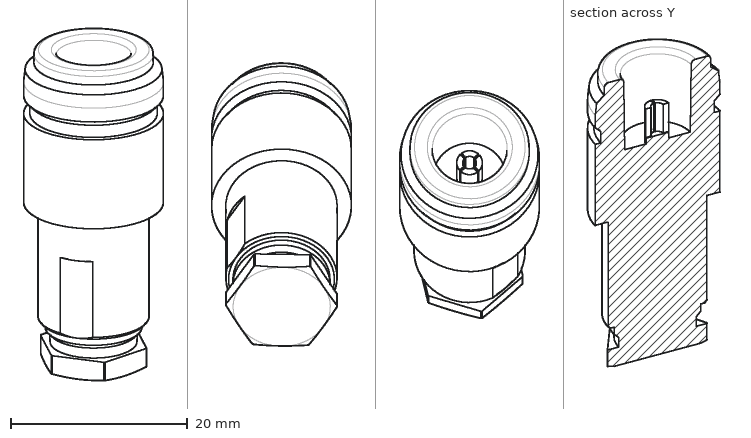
import cadquery as cq
import math

total_height = 38.22
collar_diameter = 15.85
collar_radius = collar_diameter / 2

nut_height = 2.5
gland_neck_top = 3.7
gland_cone_top = 4.28
sleeve_bottom = 5.25
sleeve_chamfer_height = 0.35
collar_bottom = 19.53
collar_top = 30.42
groove_top = 31.9
land_bottom = 32.6
land_top = 34.32
taper_top = 35.85
nose_bottom = 36.65

nut_across_flats = 11.0
nut_sides = 6
nut_turn = 180 / nut_sides
gland_neck_radius = 4.93
gland_radius = nut_across_flats / 2
sleeve_radius = 6.3
groove_radius = 7.22
taper_top_radius = 7.75
nose_radius = 6.75
nose_fillet = 0.5
nut_chamfer_height = 0.23
nut_chamfer_inset = 0.8

flat_offset = 6.0
flat_top = 14.83

mouth_radius = 4.8
bore_radius = 4.25
mouth_fillet = mouth_radius - bore_radius
bore_floor_radius = 4.13
bore_depth = 9.55

contact_radius = 1.45
contact_hole_radius = 0.75
contact_height = 4.6
contact_hole_depth = 3.82
slot_width = 0.2


def make_body():
    """Turned outside of the connector, above the nut."""
    fillet_start = total_height - nose_fillet
    fillet_mid = nose_fillet * (1 - math.sqrt(0.5))
    return (
        cq.Workplane("XZ")
        .moveTo(0, nut_height)
        .lineTo(gland_neck_radius, nut_height)
        .lineTo(gland_neck_radius, gland_neck_top)
        .lineTo(gland_radius, gland_cone_top)
        .lineTo(gland_radius, sleeve_bottom)
        .lineTo(flat_offset, sleeve_bottom)
        .lineTo(sleeve_radius, sleeve_bottom + sleeve_chamfer_height)
        .lineTo(sleeve_radius, collar_bottom)
        .lineTo(collar_radius, collar_bottom)
        .lineTo(collar_radius, collar_top)
        .lineTo(groove_radius, collar_top)
        .lineTo(groove_radius, groove_top)
        .lineTo(collar_radius, land_bottom)
        .lineTo(collar_radius, land_top)
        .lineTo(taper_top_radius, taper_top)
        .lineTo(nose_radius, nose_bottom)
        .lineTo(nose_radius, fillet_start)
        .threePointArc(
            (nose_radius - fillet_mid, total_height - fillet_mid),
            (nose_radius - nose_fillet, total_height),
        )
        .lineTo(0, total_height)
        .close()
        .revolve(360, (0, 0), (0, 1))
    )


def make_nut():
    """Hexagonal nut, flats facing -Y and +Y, with its corners turned down and its lower rim chamfered."""
    hexagon = cq.Workplane("XY").polygon(nut_sides, nut_across_flats, circumscribed=True).extrude(nut_height)
    hexagon = hexagon.rotate((0, 0, 0), (0, 0, 1), nut_turn)
    envelope = (
        cq.Workplane("XZ")
        .lineTo(sleeve_radius - nut_chamfer_inset, 0)
        .lineTo(sleeve_radius, nut_chamfer_height)
        .lineTo(sleeve_radius, nut_height)
        .lineTo(0, nut_height)
        .close()
        .revolve(360, (0, 0), (0, 1))
    )
    return hexagon.intersect(envelope)


def make_flat_cutter(side):
    """Block that trims one wrench flat; side is -1 or 1 along Y."""
    cut_depth = sleeve_radius - flat_offset
    return (
        cq.Workplane("XY", origin=(0, side * (flat_offset + cut_depth / 2), sleeve_bottom))
        .box(2 * sleeve_radius, cut_depth, flat_top - sleeve_bottom, centered=(True, True, False))
    )


def make_socket():
    """Round-mouthed bore that narrows slightly toward its floor."""
    fillet_mid = mouth_fillet * (1 - math.sqrt(0.5))
    return (
        cq.Workplane("XZ")
        .moveTo(0, total_height)
        .lineTo(mouth_radius, total_height)
        .threePointArc(
            (bore_radius + fillet_mid, total_height - fillet_mid),
            (bore_radius, total_height - mouth_fillet),
        )
        .lineTo(bore_floor_radius, total_height - bore_depth)
        .lineTo(0, total_height - bore_depth)
        .close()
        .revolve(360, (0, 0), (0, 1))
    )


def make_contact():
    """Tubular contact standing on the bore floor, split by two crossed slots."""
    floor = total_height - bore_depth
    contact = cq.Workplane("XY", origin=(0, 0, floor)).circle(contact_radius).extrude(contact_height)
    contact = contact.faces(">Z").workplane().hole(2 * contact_hole_radius, contact_hole_depth)
    slot_base = floor + contact_height - contact_hole_depth
    for angle in (0, 90):
        slot = (
            cq.Workplane("XY", origin=(0, 0, slot_base))
            .rect(2 * contact_radius, slot_width)
            .extrude(contact_hole_depth)
            .rotate((0, 0, 0), (0, 0, 1), angle)
        )
        contact = contact.cut(slot)
    return contact


body = make_body()
for side in (-1, 1):
    body = body.cut(make_flat_cutter(side))

result = body.union(make_nut()).cut(make_socket()).union(make_contact())